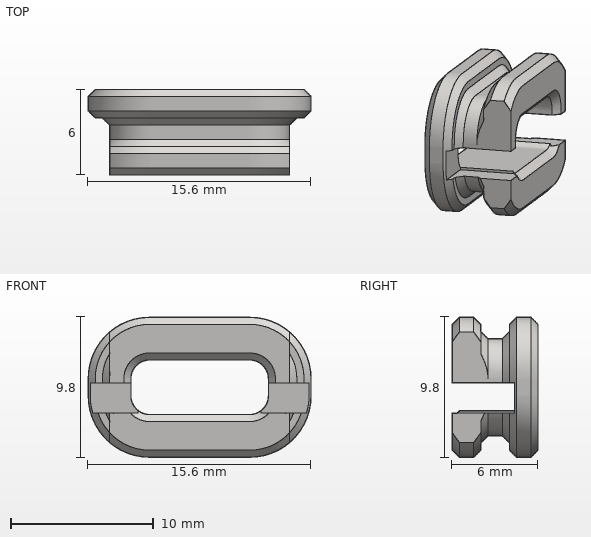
import cadquery as cq

core_length = 7.0
core_height = 1.2
hole_reach = 1.3
neck_reach = 2.8
flange_reach = 4.3

thickness = 6.0
flange_thickness = 2.0
bevel = 0.5

slot_depth = 4.35
slot_top = 0.3
slot_bottom = -1.8
slot_inner_x = 4.3

front_y = -thickness / 2
front_flange_back_y = front_y + flange_thickness
back_flange_front_y = thickness / 2 - flange_thickness
neck_gap = back_flange_front_y - front_flange_back_y
neck_half_length = core_length / 2 + neck_reach
trim_depth = flange_thickness + bevel
margin = 1.0
outer_x = core_length / 2 + flange_reach + margin
outer_z = core_height / 2 + flange_reach + margin


def rounded_plate(y_start, length, reach):
    """Rounded rectangle extending from y_start toward +Y."""
    return (
        cq.Workplane("XZ", origin=(0, y_start, 0))
        .rect(core_length + 2 * reach, core_height + 2 * reach)
        .extrude(-length)
        .edges("|Y")
        .fillet(reach)
    )


def flange(y_start):
    """Flange with both rims bevelled."""
    return rounded_plate(y_start, flange_thickness, flange_reach).faces("<Y or >Y").chamfer(bevel)


def flared_neck():
    """Neck that widens by a bevel where it meets each flange."""
    flare_reach = neck_reach + bevel
    front_flare = (
        rounded_plate(front_y + bevel, flange_thickness, flare_reach).faces(">Y").chamfer(bevel)
    )
    back_flare = (
        rounded_plate(back_flange_front_y - bevel, flange_thickness, flare_reach)
        .faces("<Y")
        .chamfer(bevel)
    )
    neck = rounded_plate(front_flange_back_y, neck_gap, neck_reach)
    return neck.union(front_flare).union(back_flare)


def through_hole():
    """Rounded hole along Y with a bevelled front mouth."""
    hole = rounded_plate(front_y, thickness, hole_reach)
    mouth_reach = hole_reach + bevel
    mouth = rounded_plate(front_y - margin, margin + bevel, mouth_reach).faces(">Y").chamfer(bevel)
    return hole.union(mouth)


def end_box(side, inner_x, depth, z_bottom, z_top):
    """Box cut back from the front face, running from inner_x past one end; side is -1 or +1."""
    length = outer_x - inner_x
    return (
        cq.Workplane("XY")
        .box(length, depth, z_top - z_bottom)
        .translate((side * (inner_x + length / 2), front_y + depth / 2, (z_bottom + z_top) / 2))
    )


body = flange(front_y).union(flared_neck()).union(flange(back_flange_front_y))
body = body.cut(through_hole())

for side in (-1, 1):
    body = body.cut(end_box(side, neck_half_length, trim_depth, -outer_z, outer_z))
    body = body.cut(end_box(side, slot_inner_x, slot_depth, slot_bottom, slot_top))

result = body